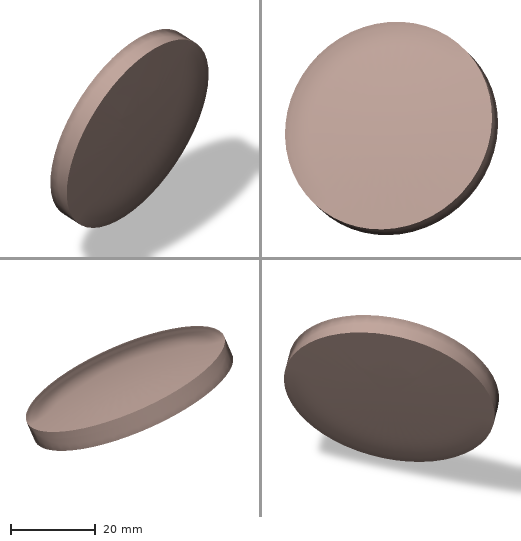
import cadquery as cq

DIAMETER = 50.8
FRONT_SAG = 1.45
FRONT_RIM_WIDTH = 1.8
BACK_RIM_WIDTH = 3.35
BACK_SAG = 0.4

RADIUS = DIAMETER / 2
FRONT_RIM_X = -FRONT_RIM_WIDTH
BACK_RIM_X = BACK_RIM_WIDTH


def lens_element(rim_x, apex_x):
    """Plano-convex element from the cemented face to a spherical outer face."""
    sag = apex_x - rim_x
    depth = abs(sag)
    sphere_radius = (RADIUS**2 + depth**2) / (2 * depth)
    half_height = RADIUS / 2
    half_height_drop = sphere_radius - (sphere_radius**2 - half_height**2) ** 0.5
    half_height_x = apex_x - half_height_drop * sag / depth
    half_profile = (
        cq.Workplane("XZ")
        .moveTo(0, 0)
        .lineTo(0, RADIUS)
        .lineTo(rim_x, RADIUS)
        .threePointArc((half_height_x, half_height), (apex_x, 0))
        .close()
    )
    return half_profile.revolve(360, (0, 0, 0), (1, 0, 0))


front_element = lens_element(FRONT_RIM_X, FRONT_RIM_X - FRONT_SAG)
back_element = lens_element(BACK_RIM_X, BACK_RIM_X + BACK_SAG)

result = cq.Compound.makeCompound([front_element.val(), back_element.val()])